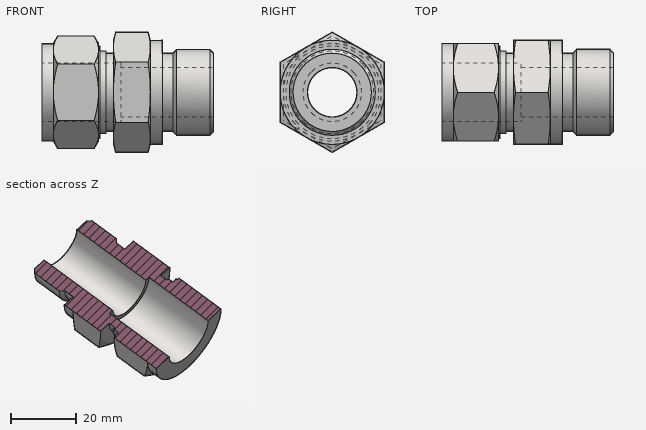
import cadquery as cq
import math

nut_start = 3.55
nut_end = 17.4
nut_rim_end = 17.85
collar_end = 19.75
body_hex_start = 22.0
body_hex_end = 33.3
flange_end = 37.0
thread_start = 40.25
total_length = 52.8

nut_rim_diameter = 28.45
collar_diameter = 25.4
neck_diameter = 24.0
thread_diameter = 26.45

nut_across_flats = 30.0
body_across_flats = 32.0
nut_chamfer_angle = 30.0
body_chamfer_angle = 15.0
nut_face_diameter = nut_across_flats
flange_diameter = body_across_flats

thread_chamfer = (thread_diameter - neck_diameter) / 2

bore_diameter = 15.1
socket_diameter = 17.95
socket_depth = 24.4


def cylinder(start, end, diameter):
    """Solid cylinder on the X axis between two stations."""
    return cq.Workplane("YZ", origin=(start, 0, 0)).circle(diameter / 2).extrude(end - start)


def chamfered_hexagon(start, end, across_flats, chamfer_angle):
    """Hexagonal prism whose corners are turned off conically, down to the inscribed circle."""
    face_radius = across_flats / 2
    corner_radius = face_radius / math.cos(math.radians(30))
    chamfer_length = (corner_radius - face_radius) * math.tan(math.radians(chamfer_angle))
    prism = (
        cq.Workplane("YZ", origin=(start, 0, 0))
        .transformed(rotate=(0, 0, 90))
        .polygon(6, 2 * corner_radius)
        .extrude(end - start)
    )
    turned_envelope = (
        cq.Workplane("XY")
        .moveTo(start, 0)
        .lineTo(start, face_radius)
        .lineTo(start + chamfer_length, corner_radius)
        .lineTo(end - chamfer_length, corner_radius)
        .lineTo(end, face_radius)
        .lineTo(end, 0)
        .close()
        .revolve(360, (0, 0, 0), (1, 0, 0))
    )
    return prism.intersect(turned_envelope)


nut = (
    cylinder(0, nut_start, nut_face_diameter)
    .union(chamfered_hexagon(nut_start, nut_end, nut_across_flats, nut_chamfer_angle))
    .union(cylinder(nut_end, nut_rim_end, nut_rim_diameter))
)

body = (
    cylinder(nut_rim_end, collar_end, collar_diameter)
    .union(cylinder(collar_end, thread_start, neck_diameter))
    .union(chamfered_hexagon(body_hex_start, body_hex_end, body_across_flats, body_chamfer_angle))
    .union(cylinder(body_hex_end, flange_end, flange_diameter))
)

thread = cylinder(thread_start, total_length, thread_diameter).faces("<X or >X").chamfer(thread_chamfer)

bore = cylinder(0, total_length, bore_diameter)
socket = cylinder(0, socket_depth, socket_diameter)

result = nut.union(body).union(thread).cut(bore).cut(socket)